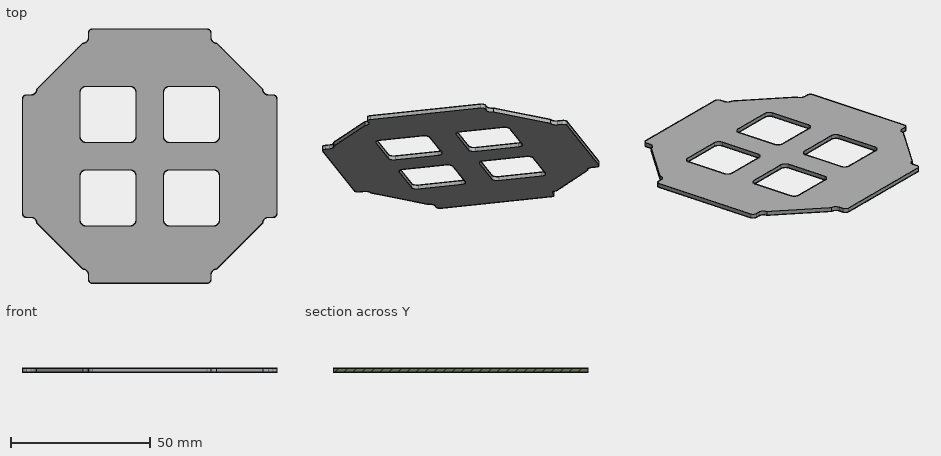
import cadquery as cq

plate_width = 91.5
plate_thickness = 1.6

tab_width = 44.1
tab_depth = 5.1
tab_corner_radius = 1.5
root_radius = 2.0

window_size = 20.0
window_pitch = 30.0
window_corner_radius = 2.0

half_width = plate_width / 2
half_tab = tab_width / 2
shoulder = half_width - tab_depth
diagonal_start = half_tab + root_radius


def tabbed_strip():
    """Strip along X whose ends form two opposite tabs with rounded corners."""
    return (
        cq.Workplane("XY")
        .box(plate_width, tab_width, plate_thickness)
        .edges("|Z")
        .fillet(tab_corner_radius)
    )


def root_fillet():
    """Concave fillet beside the root of the tab on +X, on its +Y side."""
    return (
        cq.Workplane("XY", origin=(0, 0, -plate_thickness / 2))
        .moveTo(shoulder, half_tab)
        .lineTo(shoulder + root_radius, half_tab)
        .radiusArc((shoulder, diagonal_start), root_radius)
        .close()
        .extrude(plate_thickness)
    )


def octagon():
    """Central body with the four diagonal sides."""
    corners = [
        (shoulder, diagonal_start), (diagonal_start, shoulder),
        (-diagonal_start, shoulder), (-shoulder, diagonal_start),
        (-shoulder, -diagonal_start), (-diagonal_start, -shoulder),
        (diagonal_start, -shoulder), (shoulder, -diagonal_start),
    ]
    return (
        cq.Workplane("XY", origin=(0, 0, -plate_thickness / 2))
        .polyline(corners)
        .close()
        .extrude(plate_thickness)
    )


def windows():
    """Rounded square cutters for the window grid."""
    return (
        cq.Workplane("XY")
        .rarray(window_pitch, window_pitch, 2, 2)
        .box(window_size, window_size, plate_thickness)
        .edges("|Z")
        .fillet(window_corner_radius)
    )


body = octagon()
for angle in (0, 90):
    body = body.union(tabbed_strip().rotate((0, 0, 0), (0, 0, 1), angle))
for angle in (0, 90, 180, 270):
    fillet = root_fillet().rotate((0, 0, 0), (0, 0, 1), angle)
    mirrored_fillet = root_fillet().mirror("XZ").rotate((0, 0, 0), (0, 0, 1), angle)
    body = body.union(fillet).union(mirrored_fillet)

result = body.cut(windows()).clean()